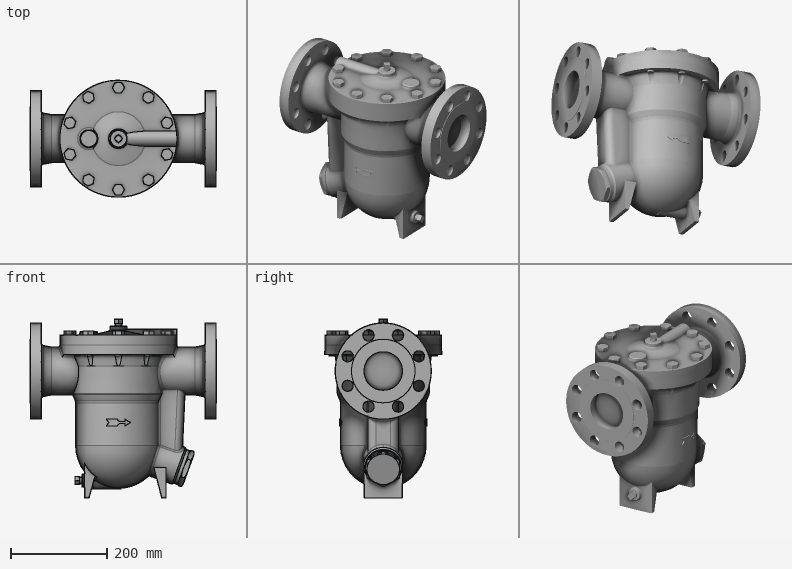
import cadquery as cq
import math


LENGTH = 388.0
PIPE_SHIFT = 10.0
PIPE_RADIUS = 50.0
PIPE_FLARE_RADIUS = 53.0
PIPE_FLARE_LENGTH = 16.0
ROOT_FILLET = 5.0
FLANGE_RADIUS = 100.0
FLANGE_THICKNESS = 22.8
RAISED_FACE_RADIUS = 66.0
RAISED_FACE_HEIGHT = 1.0
BORE_RADIUS = 40.0
BORE_DEPTH = 23.0
FLANGE_HOLES = 8
FLANGE_HOLE_DIAMETER = 23.0
FLANGE_HOLE_CIRCLE_RADIUS = 80.0

SHELL_RADIUS = 89.0
SHELL_TOP = -66.0
DOME_CENTRE_Z = -154.5
NECK_BOTTOM_Z = -48.0
NECK_BOTTOM_RADIUS = 95.5
NECK_TOP_Z = 10.0
NECK_TOP_RADIUS = 96.8
SHOULDER_Z = -61.0
SHOULDER_RADIUS = 90.0
COLLAR_RADIUS = 100.5
LID_RADIUS = 121.5
BODY_FLANGE_BOTTOM_Z = 34.3
LID_BOTTOM_Z = 53.9
LID_TOP_Z = 74.8

BOLTS = 10
BOLT_CIRCLE_RADIUS = 106.0
BOLT_FIRST_ANGLE = 18.0
BOLT_HEAD_CORNERS = 25.4
BOLT_HEAD_HEIGHT = 8.5
BOLT_HEAD_CHAMFER = 0.5
BOLT_END_RADIUS = 7.0
BOLT_END_LENGTH = 3.0
SPOTFACE_RADIUS = 9.2
BOLTS_CLEAR_OF_PIPE = (1, 2, 3, 6, 7, 8)

LID_CONE_RADIUS = 56.0
LID_CONE_TOP_RADIUS = 20.5
LID_CONE_TOP_Z = 82.5
CENTRE_BOSS_RADIUS = 18.0
CENTRE_BOSS_CHAMFER = 1.0
CENTRE_BOSS_TOP_Z = 93.3
CENTRE_BOSS_FOOT_Z = 85.2
SIDE_BOSS_X = -61.5
SIDE_BOSS_RADIUS = 18.5
SIDE_BOSS_FLARE = 4.5
SIDE_BOSS_CHAMFER = 1.5
SIDE_BOSS_TOP_Z = 82.3
DUCT_RADIUS = 16.3
DUCT_AXIS_Z = 70.5
DUCT_END_X = 121.5

PLUG_STEM_RADIUS = 7.0
PLUG_STEM_LENGTH = 5.0
PLUG_SQUARE = 12.0
PLUG_HEAD_LENGTH = 9.3

NOZZLE_TILT = 20.0
NOZZLE_ORIGIN_Z = -151.3
NOZZLE_RADIUS = 40.5
NOZZLE_LENGTH = 137.0
NOZZLE_END_CHAMFER = 4.0
NOZZLE_CAP_RADIUS = 37.5
NOZZLE_CAP_LENGTH = 7.0
NOZZLE_HEX_CORNERS = 78.0
NOZZLE_HEX_HEIGHT = 11.0
NOZZLE_HEX_CHAMFER = 2.5

RISER_HALF_WIDTH = 31.5
RISER_TOP_X = 140.5
RISER_BOTTOM_X = 132.5
RISER_BOTTOM_Z = -175.0
RISER_CORNER = 16.0

NECK_FILLET = 7.0
FLANGE_FILLET = 3.5
NOZZLE_FILLET = 6.0
RISER_FILLET = 1.5
FOOT_FILLET = 4.0

FOOT_BOTTOM_Z = -264.0
FOOT_THICKNESS = 9.0
FOOT_CORNER = 2.0
FOOT_DRAFT = 14.5
LEFT_FOOT_OUTER_X = -70.0
RIGHT_FOOT_OUTER_X = 99.0
LEFT_FOOT_TOP_Z = -190.0
RIGHT_FOOT_TOP_Z = -200.5
FOOT_WIDTH = 79.0

DRAIN_Z = -227.5
DRAIN_BOSS_RADIUS = 18.0
DRAIN_SEAT_RADIUS = 26.68 / 2
DRAIN_SEAT_LENGTH = 6.0
DRAIN_SEAT_CHAMFER = 1.0
DRAIN_SEAT_FLARE = 1.8
DRAIN_BOSS_END_X = 5.0

ARROW_Z = -107.0
ARROW_HALF_LENGTH = 25.0
ARROW_HALF_HEIGHT = 7.0
ARROW_SHAFT_HALF = 2.0
ARROW_HEAD_X = 13.5
ARROW_TAIL_X = -3.0
ARROW_NOTCH = 5.0
ARROW_RELIEF = 1.7


def cylinder_z(radius, bottom, top, x=0, y=0):
    return cq.Workplane("XY", origin=(x, y, bottom)).circle(radius).extrude(top - bottom)


def hex_head(plane, corners, height, chamfer, both_ends=False):
    """Hexagonal head with its corners turned off at the outer end, or at both ends."""
    corner_excess = corners / 2 * (1 - math.cos(math.radians(30)))
    ends = cq.DirectionMinMaxSelector(plane.zDir)
    if both_ends:
        ends = cq.selectors.ParallelDirSelector(plane.zDir)
    blank = cq.Workplane(plane).circle(corners / 2).extrude(height)
    for face in blank.faces(ends).vals():
        blank = blank.newObject(face.Edges()).chamfer(chamfer, corner_excess)
    return cq.Workplane(plane).polygon(6, corners).extrude(height).intersect(blank)


def square_plug(plane):
    """Round stem carrying a square head whose corners point along the plane axes."""
    stem = cq.Workplane(plane).circle(PLUG_STEM_RADIUS).extrude(PLUG_STEM_LENGTH)
    head = (
        cq.Workplane(plane)
        .workplane(offset=PLUG_STEM_LENGTH)
        .polygon(4, PLUG_SQUARE * math.sqrt(2))
        .extrude(PLUG_HEAD_LENGTH)
    )
    return stem.union(head)


def shell():
    dome_bottom = DOME_CENTRE_Z - SHELL_RADIUS
    diagonal = SHELL_RADIUS * math.sqrt(0.5)
    return (
        cq.Workplane("XZ")
        .moveTo(0, dome_bottom)
        .threePointArc((diagonal, DOME_CENTRE_Z - diagonal), (SHELL_RADIUS, DOME_CENTRE_Z))
        .lineTo(SHELL_RADIUS, SHELL_TOP)
        .lineTo(SHOULDER_RADIUS, SHOULDER_Z)
        .lineTo(NECK_BOTTOM_RADIUS, NECK_BOTTOM_Z)
        .lineTo(NECK_TOP_RADIUS, NECK_TOP_Z)
        .lineTo(COLLAR_RADIUS, BODY_FLANGE_BOTTOM_Z)
        .lineTo(0, BODY_FLANGE_BOTTOM_Z)
        .close()
        .revolve(360, (0, 0, 0), (0, 1, 0))
    )


def body_flange():
    return cylinder_z(LID_RADIUS, BODY_FLANGE_BOTTOM_Z, LID_BOTTOM_Z)


def pipe_end(side):
    """Half of the pipe run with its flange; side is -1 for the inlet, +1 for the outlet."""
    half = LENGTH / 2
    flange_front = half - RAISED_FACE_HEIGHT
    flange_back = flange_front - FLANGE_THICKNESS
    root = flange_back - ROOT_FILLET
    mid = ROOT_FILLET * (1 - math.sqrt(0.5))
    profile = (
        cq.Workplane("XY")
        .moveTo(0, 0)
        .lineTo(0, PIPE_RADIUS)
        .lineTo(root - PIPE_FLARE_LENGTH, PIPE_RADIUS)
        .lineTo(root, PIPE_FLARE_RADIUS)
        .threePointArc(
            (flange_back - mid, PIPE_FLARE_RADIUS + mid),
            (flange_back, PIPE_FLARE_RADIUS + ROOT_FILLET),
        )
        .lineTo(flange_back, FLANGE_RADIUS)
        .lineTo(flange_front, FLANGE_RADIUS)
        .lineTo(flange_front, RAISED_FACE_RADIUS)
        .lineTo(half, RAISED_FACE_RADIUS)
        .lineTo(half, 0)
        .close()
        .revolve(360, (0, 0, 0), (1, 0, 0))
    )
    holes = (
        cq.Workplane("YZ", origin=(flange_back, 0, 0))
        .polarArray(FLANGE_HOLE_CIRCLE_RADIUS, 180 / FLANGE_HOLES, 360, FLANGE_HOLES)
        .circle(FLANGE_HOLE_DIAMETER / 2)
        .extrude(FLANGE_THICKNESS)
    )
    end = profile.cut(holes)
    if side < 0:
        end = end.mirror("YZ")
    return end.translate((PIPE_SHIFT, 0, 0))


def pipe_bore(side):
    face_x = PIPE_SHIFT + side * LENGTH / 2
    return cq.Workplane("YZ", origin=(face_x, 0, 0)).circle(BORE_RADIUS).extrude(-side * BORE_DEPTH)


def bolt_position(index):
    angle = math.radians(BOLT_FIRST_ANGLE + index * 360 / BOLTS)
    return BOLT_CIRCLE_RADIUS * math.cos(angle), BOLT_CIRCLE_RADIUS * math.sin(angle)


def add_bolt_ends(part):
    """Bolt ends below the body flange, each in a spotface cut into the neck."""
    for index in BOLTS_CLEAR_OF_PIPE:
        x, y = bolt_position(index)
        part = part.cut(cylinder_z(SPOTFACE_RADIUS, 0, BODY_FLANGE_BOTTOM_Z, x, y))
    for index in range(BOLTS):
        x, y = bolt_position(index)
        end_bottom = BODY_FLANGE_BOTTOM_Z - BOLT_END_LENGTH
        part = part.union(cylinder_z(BOLT_END_RADIUS, end_bottom, BODY_FLANGE_BOTTOM_Z, x, y))
    return part


def bolt_head(index):
    """Bolt head with one flat facing away from the shell axis."""
    x, y = bolt_position(index)
    seat = cq.Plane(origin=(x, y, LID_TOP_Z), xDir=(-y, x, 0), normal=(0, 0, 1))
    return hex_head(seat, BOLT_HEAD_CORNERS, BOLT_HEAD_HEIGHT, BOLT_HEAD_CHAMFER)


def lid():
    cone_and_boss = (
        cq.Workplane("XZ")
        .moveTo(0, LID_BOTTOM_Z)
        .lineTo(LID_CONE_RADIUS, LID_BOTTOM_Z)
        .lineTo(LID_CONE_RADIUS, LID_TOP_Z)
        .lineTo(LID_CONE_TOP_RADIUS, LID_CONE_TOP_Z)
        .lineTo(CENTRE_BOSS_RADIUS, CENTRE_BOSS_FOOT_Z)
        .lineTo(CENTRE_BOSS_RADIUS, CENTRE_BOSS_TOP_Z)
        .lineTo(0, CENTRE_BOSS_TOP_Z)
        .close()
        .revolve(360, (0, 0, 0), (0, 1, 0))
        .faces(">Z")
        .chamfer(CENTRE_BOSS_CHAMFER)
    )
    flare_mid = SIDE_BOSS_FLARE * (1 - math.sqrt(0.5))
    side_boss = (
        cq.Workplane("XZ")
        .moveTo(0, LID_BOTTOM_Z)
        .lineTo(SIDE_BOSS_RADIUS + SIDE_BOSS_FLARE, LID_BOTTOM_Z)
        .lineTo(SIDE_BOSS_RADIUS + SIDE_BOSS_FLARE, LID_TOP_Z)
        .threePointArc(
            (SIDE_BOSS_RADIUS + flare_mid, LID_TOP_Z + flare_mid),
            (SIDE_BOSS_RADIUS, LID_TOP_Z + SIDE_BOSS_FLARE),
        )
        .lineTo(SIDE_BOSS_RADIUS, SIDE_BOSS_TOP_Z)
        .lineTo(0, SIDE_BOSS_TOP_Z)
        .close()
        .revolve(360, (0, 0, 0), (0, 1, 0))
        .faces(">Z")
        .chamfer(SIDE_BOSS_CHAMFER)
        .translate((SIDE_BOSS_X, 0, 0))
    )
    duct = cq.Workplane("YZ", origin=(0, 0, DUCT_AXIS_Z)).circle(DUCT_RADIUS).extrude(DUCT_END_X)
    duct = duct.intersect(
        cq.Workplane("XY", origin=(0, 0, LID_BOTTOM_Z)).rect(LENGTH, LENGTH).extrude(LID_TOP_Z)
    )
    plug = square_plug(cq.Plane(origin=(0, 0, CENTRE_BOSS_TOP_Z), xDir=(1, 0, 0), normal=(0, 0, 1)))
    cover = cylinder_z(LID_RADIUS, LID_BOTTOM_Z, LID_TOP_Z)
    cover = cover.union(cone_and_boss).union(duct).union(side_boss).union(plug)
    for index in range(BOLTS):
        cover = cover.union(bolt_head(index))
    return cover


def nozzle_plane(distance):
    """Plane across the nozzle axis; its X direction stays in the XZ plane."""
    tilt = math.radians(NOZZLE_TILT)
    along = (math.cos(tilt), 0, -math.sin(tilt))
    across = (math.sin(tilt), 0, math.cos(tilt))
    origin = (distance * along[0], 0, NOZZLE_ORIGIN_Z + distance * along[2])
    return cq.Plane(origin=origin, xDir=across, normal=along)


def nozzle():
    tube = cq.Workplane(nozzle_plane(0)).circle(NOZZLE_RADIUS).extrude(NOZZLE_LENGTH)
    return tube.faces(cq.DirectionMinMaxSelector(nozzle_plane(0).zDir)).chamfer(NOZZLE_END_CHAMFER)


def nozzle_cap():
    ring = cq.Workplane(nozzle_plane(NOZZLE_LENGTH)).circle(NOZZLE_CAP_RADIUS).extrude(NOZZLE_CAP_LENGTH)
    head_plane = nozzle_plane(NOZZLE_LENGTH + NOZZLE_CAP_LENGTH)
    head = hex_head(head_plane, NOZZLE_HEX_CORNERS, NOZZLE_HEX_HEIGHT, NOZZLE_HEX_CHAMFER, both_ends=True)
    return ring.union(head)


def riser():
    return (
        cq.Workplane("XZ")
        .moveTo(0, 0)
        .lineTo(RISER_TOP_X, 0)
        .lineTo(RISER_BOTTOM_X, RISER_BOTTOM_Z)
        .lineTo(0, RISER_BOTTOM_Z)
        .close()
        .extrude(RISER_HALF_WIDTH, both=True)
        .edges("not(|X or |Y or |Z)")
        .fillet(RISER_CORNER)
    )


def foot(outer_x, inward, top_z):
    """Foot with an upright outer face; inward is the X direction towards the shell axis."""
    height = top_z - FOOT_BOTTOM_Z
    top_thickness = FOOT_THICKNESS + height * math.tan(math.radians(FOOT_DRAFT))
    return (
        cq.Workplane("XZ")
        .moveTo(outer_x, FOOT_BOTTOM_Z)
        .lineTo(outer_x + inward * FOOT_THICKNESS, FOOT_BOTTOM_Z)
        .lineTo(outer_x + inward * top_thickness, top_z)
        .lineTo(outer_x, top_z)
        .close()
        .extrude(FOOT_WIDTH / 2, both=True)
        .edges("|X and <Z")
        .fillet(FOOT_CORNER)
    )


def drain():
    seat_plane = cq.Plane(origin=(LEFT_FOOT_OUTER_X, 0, DRAIN_Z), xDir=(0, 0, 1), normal=(-1, 0, 0))
    boss_length = DRAIN_BOSS_END_X - LEFT_FOOT_OUTER_X
    boss = cq.Workplane(seat_plane).circle(DRAIN_BOSS_RADIUS).extrude(-boss_length)
    seat = cq.Workplane(seat_plane).circle(DRAIN_SEAT_RADIUS).extrude(DRAIN_SEAT_LENGTH)
    flare = cq.Workplane(
        cq.Solid.makeCone(
            DRAIN_SEAT_RADIUS + DRAIN_SEAT_FLARE,
            DRAIN_SEAT_RADIUS,
            DRAIN_SEAT_FLARE,
            pnt=cq.Vector(LEFT_FOOT_OUTER_X, 0, DRAIN_Z),
            dir=cq.Vector(-1, 0, 0),
        )
    )
    plug_plane = cq.Plane(
        origin=(LEFT_FOOT_OUTER_X - DRAIN_SEAT_LENGTH, 0, DRAIN_Z), xDir=(0, 0, 1), normal=(-1, 0, 0)
    )
    return boss.union(flare).union(seat.faces("<X").chamfer(DRAIN_SEAT_CHAMFER)).union(square_plug(plug_plane))


def flow_arrows():
    arrow = (
        cq.Workplane("XZ", origin=(0, 0, ARROW_Z))
        .moveTo(ARROW_HALF_LENGTH, 0)
        .lineTo(ARROW_HEAD_X, ARROW_HALF_HEIGHT)
        .lineTo(ARROW_HEAD_X, ARROW_SHAFT_HALF)
        .lineTo(ARROW_TAIL_X + ARROW_NOTCH, ARROW_SHAFT_HALF)
        .lineTo(ARROW_TAIL_X, ARROW_HALF_HEIGHT)
        .lineTo(-ARROW_HALF_LENGTH, ARROW_HALF_HEIGHT)
        .lineTo(ARROW_NOTCH - ARROW_HALF_LENGTH, 0)
        .mirrorX()
        .extrude(LID_RADIUS, both=True)
    )
    raised = cylinder_z(SHELL_RADIUS + ARROW_RELIEF, DOME_CENTRE_Z, SHELL_TOP)
    return arrow.intersect(raised)


def fillet_joints(part, low, high, radius):
    """Fillet the joint edges whose centres lie in a box; rims, seams and riser corners are passed over."""
    joints = []
    for edge in part.edges(cq.selectors.BoxSelector(low, high)).vals():
        is_line = edge.geomType() == "LINE"
        is_rim = edge.geomType() == "CIRCLE" and edge.Length() > radius
        is_seam = is_line and abs(edge.Center().y) < RISER_HALF_WIDTH - 1
        is_riser_corner = is_line and edge.Length() > LID_RADIUS
        if not (is_rim or is_seam or is_riser_corner):
            joints.append(edge)
    return part.newObject(joints).fillet(radius)


def fillet_pipes(part):
    """Outlet pipe into the neck, then both pipes into the body flange."""
    part = fillet_joints(
        part,
        (LID_RADIUS / 2, -PIPE_RADIUS, NECK_BOTTOM_Z - 2),
        (NECK_TOP_RADIUS, PIPE_RADIUS, PIPE_RADIUS / 2),
        NECK_FILLET,
    )
    return fillet_joints(
        part,
        (-LID_RADIUS, -PIPE_RADIUS, BODY_FLANGE_BOTTOM_Z - 0.1),
        (LID_RADIUS, PIPE_RADIUS, PIPE_RADIUS),
        FLANGE_FILLET,
    )


def fillet_riser(part):
    """Riser and nozzle into the shell and each other, then the riser into the outlet pipe."""
    part = fillet_joints(
        part,
        (0, -PIPE_RADIUS, NOZZLE_ORIGIN_Z - NOZZLE_RADIUS - 1),
        (RISER_BOTTOM_X + 1, PIPE_RADIUS, SHELL_TOP),
        NOZZLE_FILLET,
    )
    return fillet_joints(
        part,
        (NECK_TOP_RADIUS, -RISER_HALF_WIDTH - 1, -PIPE_RADIUS),
        (RISER_TOP_X, RISER_HALF_WIDTH + 1, -RISER_HALF_WIDTH),
        RISER_FILLET,
    )


def add_left_foot(part):
    """Left foot, blended into the dome along its outer and inner faces."""
    part = part.union(foot(LEFT_FOOT_OUTER_X, 1, LEFT_FOOT_TOP_Z))
    low = (LEFT_FOOT_OUTER_X - 1, -1, DOME_CENTRE_Z - SHELL_RADIUS)
    high = (LEFT_FOOT_OUTER_X / 2, 1, LEFT_FOOT_TOP_Z)
    return part.edges(cq.selectors.BoxSelector(low, high)).fillet(FOOT_FILLET)


def casting():
    """Shell, pipe ends, riser, nozzle and left foot, with fillets where they meet."""
    part = shell().union(body_flange())
    for side in (-1, 1):
        part = part.union(pipe_end(side))
    part = fillet_pipes(part)
    part = part.union(riser()).union(nozzle())
    return add_left_foot(fillet_riser(part))


result = casting()
result = result.union(foot(RIGHT_FOOT_OUTER_X, -1, RIGHT_FOOT_TOP_Z))
result = result.union(drain())
result = result.union(nozzle_cap())
result = result.union(flow_arrows())
result = add_bolt_ends(result)
for side in (-1, 1):
    result = result.cut(pipe_bore(side))
result = result.union(lid(), clean=False)